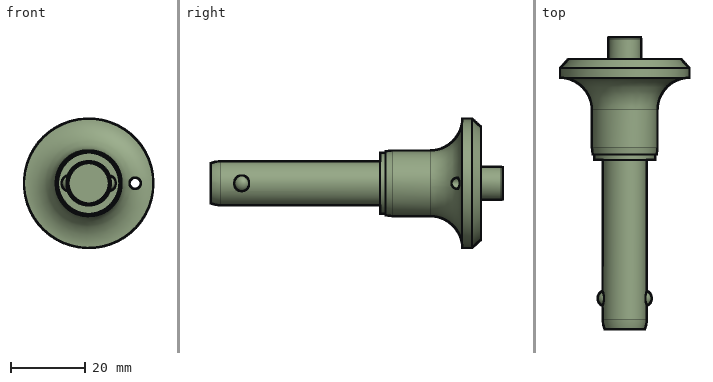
import cadquery as cq
import math

overall_length = 78.8
button_end = overall_length / 2
tip_end = -overall_length / 2

button_radius = 4.5
button_edge_length = 0.55
button_edge_inset = 0.1
button_length = 5.8

rim_radius = 17.5
rim_chamfer_length = 2.5
rim_chamfer_inset = 2.3
rim_width = 2.6
neck_radius = 8.9
flare_radius = rim_radius - neck_radius
neck_length = 10.2
neck_taper_length = 2.0
neck_taper_inset = 0.2

collar_radius = 8.3
collar_length = 1.4
shank_radius = 6.0
tip_length = 2.6
tip_radius = 5.4

ball_radius = 2.2
ball_reach = 7.3
ball_from_tip = 8.35

lanyard_hole_diameter = 3.0
lanyard_hole_offset = 12.5

handle_end = button_end - button_length
rim_start = handle_end - rim_chamfer_length
flare_start = rim_start - rim_width
flare_end = flare_start - flare_radius
taper_start = flare_end - neck_length
taper_end = taper_start - neck_taper_length
collar_end = taper_end - collar_length
tip_start = tip_end + tip_length


def revolved_body():
    """Revolve the half outline of button, handle, collar and shank about Y."""
    flare_mid = (
        rim_radius - flare_radius * math.sin(math.pi / 4),
        flare_end + flare_radius * math.cos(math.pi / 4),
    )
    profile = (
        cq.Workplane("XY")
        .moveTo(0, button_end)
        .lineTo(button_radius - button_edge_inset, button_end)
        .lineTo(button_radius, button_end - button_edge_length)
        .lineTo(button_radius, handle_end)
        .lineTo(rim_radius - rim_chamfer_inset, handle_end)
        .lineTo(rim_radius, rim_start)
        .lineTo(rim_radius, flare_start)
        .threePointArc(flare_mid, (neck_radius, flare_end))
        .lineTo(neck_radius, taper_start)
        .lineTo(neck_radius - neck_taper_inset, taper_end)
        .lineTo(collar_radius, taper_end)
        .lineTo(collar_radius, collar_end)
        .lineTo(shank_radius, collar_end)
        .lineTo(shank_radius, tip_start)
        .tangentArcPoint((tip_radius, tip_end), relative=False)
        .lineTo(0, tip_end)
        .close()
    )
    return profile.revolve(360, (0, 0, 0), (0, 1, 0))


def locking_ball(side):
    """Ball partly sunk in the shank, on the +X (1) or -X (-1) side."""
    center_x = side * (ball_reach - ball_radius)
    return cq.Workplane("XY").sphere(ball_radius).translate((center_x, tip_end + ball_from_tip, 0))


def lanyard_hole():
    """Hole through the handle flange, parallel to the pin axis."""
    return (
        cq.Workplane("XZ", origin=(lanyard_hole_offset, handle_end, 0))
        .circle(lanyard_hole_diameter / 2)
        .extrude(handle_end - flare_end)
    )


result = revolved_body().cut(lanyard_hole())
for side in (-1, 1):
    result = result.union(locking_ball(side))